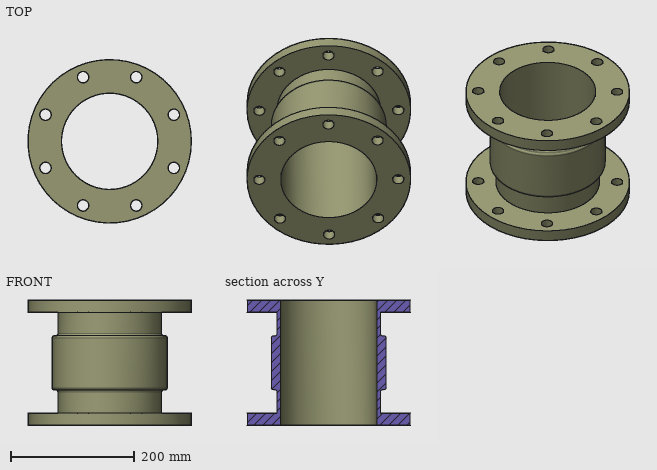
import cadquery as cq

flange_diameter = 265.0
total_height = 203.0
flange_thickness = 20.0

pipe_diameter = 168.3
bore_diameter = 155.5
sleeve_diameter = 186.5
sleeve_length = 88.0
sleeve_fillet = 3.5

bolt_count = 8
bolt_circle_diameter = 225.0
bolt_hole_diameter = 18.0

half_height = total_height / 2
half_sleeve = sleeve_length / 2


def cylinder(diameter, bottom, top):
    """Solid cylinder on the Z axis between two heights."""
    return cq.Workplane("XY", origin=(0, 0, bottom)).circle(diameter / 2).extrude(top - bottom)


def sleeved_pipe():
    """Solid pipe body with the sleeve's edges rounded and its roots filleted."""
    pipe = cylinder(pipe_diameter, -half_height, half_height)
    sleeve = cylinder(sleeve_diameter, -half_sleeve, half_sleeve)
    reach = sleeve_diameter
    sleeve_zone = cq.selectors.BoxSelector(
        (-reach, -reach, -half_height + flange_thickness),
        (reach, reach, half_height - flange_thickness),
    )
    sleeve_ends = cq.selectors.AndSelector(sleeve_zone, cq.selectors.TypeSelector("CIRCLE"))
    return pipe.union(sleeve).edges(sleeve_ends).fillet(sleeve_fillet)


def flanges():
    """The two end flanges, without holes."""
    top_flange = cylinder(flange_diameter, half_height - flange_thickness, half_height)
    bottom_flange = cylinder(flange_diameter, -half_height, -half_height + flange_thickness)
    return top_flange.add(bottom_flange).combine()


def bolt_holes():
    """Cores of the bolt holes, running through both flanges."""
    half_pitch_angle = 180 / bolt_count
    return (
        cq.Workplane("XY", origin=(0, 0, -half_height))
        .polarArray(bolt_circle_diameter / 2, half_pitch_angle, 360, bolt_count)
        .circle(bolt_hole_diameter / 2)
        .extrude(total_height)
    )


body = sleeved_pipe().union(flanges())
bore = cylinder(bore_diameter, -half_height, half_height)
result = body.cut(bore).cut(bolt_holes())